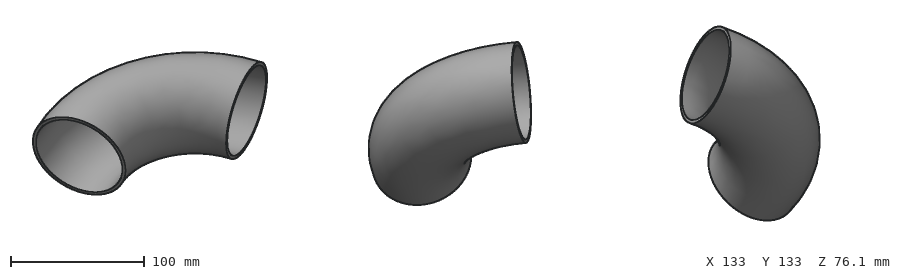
import cadquery as cq

outer_reach = 133.0
outer_diameter = 76.1
wall_thickness = 2.7
bend_angle = 90.0

outer_radius = outer_diameter / 2
inner_radius = outer_radius - wall_thickness
bend_radius = outer_reach - outer_radius


def pipe_elbow():
    """Sweep the pipe ring about the Z axis, from the -Y facing end to the +X facing end."""
    ring = (
        cq.Workplane("XZ")
        .center(-bend_radius, 0)
        .circle(outer_radius)
        .circle(inner_radius)
    )
    axis_start = (bend_radius, 0)
    axis_end = (bend_radius, -1)
    return ring.revolve(bend_angle, axis_start, axis_end)


result = pipe_elbow()